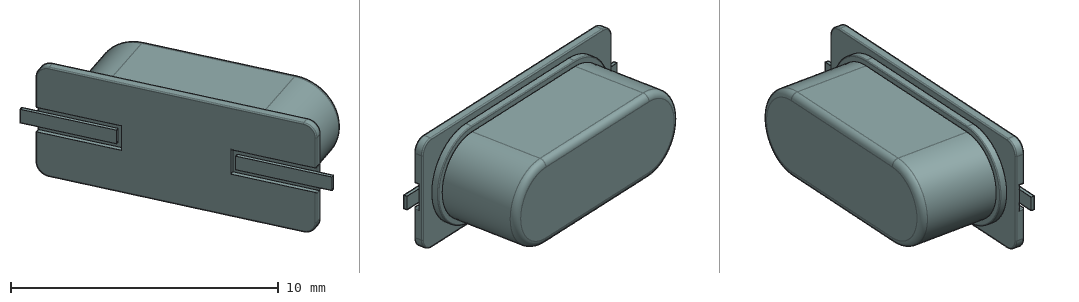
import cadquery as cq

overall_length = 12.7
overall_depth = 4.2

plate_length = 11.43
plate_height = 4.7
plate_thickness = 0.4
plate_corner_radius = 0.53
plate_edge_fillet = 0.05

end_center_spacing = 6.22
can_height = 3.61
can_top_fillet = 0.28
flange_height = 4.09
flange_thickness = 0.3
flange_edge_fillet = 0.04

lead_width = 0.58
lead_thickness = 0.15
lead_inner_spacing = 4.85
lead_length = (overall_length - lead_inner_spacing) / 2
recess_width = 1.05
recess_depth = 0.19
recess_inner_spacing = 4.46
recess_length = (plate_length - recess_inner_spacing) / 2

SIDES = (-1, 1)


def block(length, depth, height, center_x=0.0):
    """Box that starts on Y = 0, extends toward +Y and is centred on Z = 0."""
    return cq.Workplane("XY").box(length, depth, height, centered=(True, False, True)).translate(
        (center_x, 0, 0)
    )


def round_ended_prism(height, depth):
    """Slot-shaped prism on the plate's inner face, with end arcs on the shared centres."""
    return cq.Workplane("XZ").slot2D(end_center_spacing + height, height).extrude(-depth).translate(
        (0, plate_thickness, 0)
    )


def make_recess(side):
    center_x = side * (recess_inner_spacing + recess_length) / 2
    return block(recess_length, recess_depth, recess_width, center_x)


def make_plate():
    """Rounded plate with a recess open at each end; its rims and the recess mouths are filleted."""
    plate = block(plate_length, plate_thickness, plate_height)
    plate = plate.edges("|Y").fillet(plate_corner_radius)
    for side in SIDES:
        plate = plate.cut(make_recess(side))
    corner_center_z = plate_height / 2 - plate_corner_radius
    mouths = plate.faces("<X or >X").edges().filter(
        lambda edge: abs(edge.Center().z) < corner_center_z - plate_edge_fillet
    )
    long_rims = plate.faces("<Y or >Y").edges().filter(
        lambda edge: abs(edge.Center().z) > corner_center_z
    )
    return mouths.add(long_rims).fillet(plate_edge_fillet)


def make_flange():
    flange = round_ended_prism(flange_height, flange_thickness)
    return flange.faces(">Y").edges().fillet(flange_edge_fillet)


def make_can():
    can = round_ended_prism(can_height, overall_depth - plate_thickness)
    return can.faces(">Y").edges().fillet(can_top_fillet)


def make_housing():
    """Plate, flange and can as one solid."""
    return make_plate().union(make_flange()).union(make_can())


def make_lead(side):
    """Flat lead, flush with the plate's outer face and clear of the recess floor."""
    center_x = side * (lead_inner_spacing + lead_length) / 2
    return block(lead_length, lead_thickness, lead_width, center_x)


housing = make_housing()
leads = [make_lead(side) for side in SIDES]

result = cq.Compound.makeCompound([housing.val(), *[lead.val() for lead in leads]])